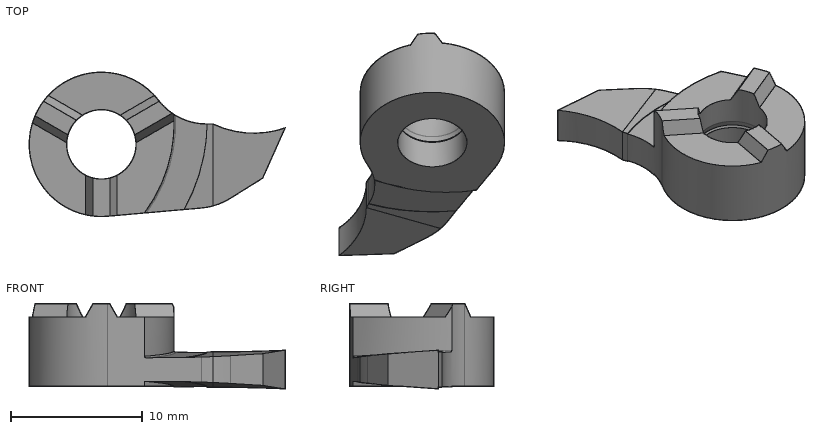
import cadquery as cq
import math

hub_radius = 5.5
hub_height = 5.3
bore_radius = 2.63
groove_depth = 0.1
groove_top = 3.2
groove_root = 2.77
groove_bottom = 2.6

tooth_count = 3
first_tooth_angle = 30
tooth_height = 1.0
tooth_half_base = 1.2
tooth_half_crest = 0.65

mid_height = 1.29
half_thickness_at_axis = 1.2
thickness_slope = 0.06
flare_start = 6.24
tip_flare = 0.2
foot_radius = 0.12

flank_angle = 5
flank_end = 7.6
heel_bend_radius = 5.0
shoulder_angle = 36.5
joint_x = 8.48
back_y = 1.56
back_arc_end = (8.05, back_y)
back_arc_middle = (5.71, 2.16)
tip_point = (14.0, 1.27)
rake_middle = (11.62, 0.85)
heel_corner = (12.28, -2.57)
heel_angle = 32

hub_end_curve = [(3.1, -5.46), (5.28, -0.8), (5.5, 2.54)]
arm_end_curve = [(6.18, -5.17), (7.8, -0.85), (8.05, 1.75)]
margin = 7.8


def polar(radius, angle):
    return (radius * math.cos(math.radians(angle)), radius * math.sin(math.radians(angle)))


def outline(bottom, top):
    """Hub circle running into the hooked arm, as a prism between two heights."""
    flank_start = polar(hub_radius, flank_angle - 90)
    flank_rise = (flank_end - flank_start[0]) * math.tan(math.radians(flank_angle))
    bend_start = (flank_end, flank_start[1] + flank_rise)
    bend_normal = polar(heel_bend_radius, flank_angle - 90)
    centre = (bend_start[0] - bend_normal[0], bend_start[1] - bend_normal[1])

    def bend_point(tangent_angle):
        dx, dy = polar(heel_bend_radius, tangent_angle - 90)
        return (centre[0] + dx, centre[1] + dy)

    return (
        cq.Workplane("XY", origin=(0, 0, bottom))
        .moveTo(*flank_start)
        .lineTo(*bend_start)
        .threePointArc(bend_point((flank_angle + heel_angle) / 2), bend_point(heel_angle))
        .lineTo(*heel_corner)
        .lineTo(*tip_point)
        .threePointArc(rake_middle, (joint_x, back_y))
        .lineTo(*back_arc_end)
        .threePointArc(back_arc_middle, polar(hub_radius, shoulder_angle))
        .threePointArc((-hub_radius, 0), flank_start)
        .close()
        .extrude(top - bottom)
    )


def inside_curve(curve):
    """Tall block covering everything on the -X side of a curved face."""
    start, middle, end = curve
    return (
        cq.Workplane("XY", origin=(0, 0, -margin))
        .moveTo(*start)
        .threePointArc(middle, end)
        .lineTo(end[0], margin)
        .lineTo(-margin, margin)
        .lineTo(-margin, -margin)
        .lineTo(start[0], -margin)
        .close()
        .extrude(3 * margin)
    )


def thickness_section(x, growth):
    """Trapezoid across the arm at x, thicker by growth on both faces."""
    thin = half_thickness_at_axis - thickness_slope * margin + growth
    thick = half_thickness_at_axis + thickness_slope * margin + growth
    return cq.Wire.makePolygon(
        [
            cq.Vector(x, -margin, mid_height - thin),
            cq.Vector(x, margin, mid_height - thick),
            cq.Vector(x, margin, mid_height + thick),
            cq.Vector(x, -margin, mid_height + thin),
        ],
        close=True,
    )


def thickness_block(start, start_growth, end, end_growth):
    sections = [thickness_section(start, start_growth), thickness_section(end, end_growth)]
    return cq.Workplane(cq.Solid.makeLoft(sections, True))


def flare_at(x):
    return tip_flare * (x - flare_start) / (tip_point[0] - flare_start)


def make_arm():
    plain = thickness_block(0, 0, joint_x, 0)
    flared = thickness_block(flare_start, 0, joint_x, flare_at(joint_x))
    flared = flared.cut(inside_curve(arm_end_curve))
    profile = outline(-margin, margin)
    return plain.union(flared).intersect(profile).cut(inside_curve(hub_end_curve))


def make_teeth():
    top = hub_height + tooth_height
    bar = (
        cq.Workplane("YZ")
        .polyline(
            [
                (-tooth_half_base, hub_height),
                (tooth_half_base, hub_height),
                (tooth_half_crest, top),
                (-tooth_half_crest, top),
            ]
        )
        .close()
        .extrude(margin)
    )
    teeth = cq.Workplane("XY")
    for index in range(tooth_count):
        angle = first_tooth_angle + index * 360 / tooth_count
        teeth = teeth.add(bar.rotate((0, 0, 0), (0, 0, 1), angle))
    return teeth.combine().intersect(outline(hub_height, top)).intersect(inside_curve(hub_end_curve))


def make_bore():
    """Through bore with a V-shaped internal groove."""
    return (
        cq.Workplane("XZ")
        .polyline(
            [
                (0, -margin),
                (bore_radius, -margin),
                (bore_radius, groove_bottom),
                (bore_radius + groove_depth, groove_root),
                (bore_radius, groove_top),
                (bore_radius, margin),
                (0, margin),
            ]
        )
        .close()
        .revolve(360, (0, 0, 0), (0, 1, 0))
    )


def make_holder():
    hub = outline(0, hub_height).intersect(inside_curve(hub_end_curve))
    foot = cq.selectors.BoxSelector((4.29, -2.92, 2.05), (5.65, 0, 2.83))
    body = hub.union(make_arm()).edges(foot).fillet(foot_radius)
    return body.union(make_teeth()).cut(make_bore())


def make_cutting_tip():
    block = thickness_block(joint_x, flare_at(joint_x), tip_point[0], tip_flare)
    return block.intersect(outline(-margin, margin))


holder = make_holder()
cutting_tip = make_cutting_tip()
result = cq.Compound.makeCompound([holder.val(), cutting_tip.val()])